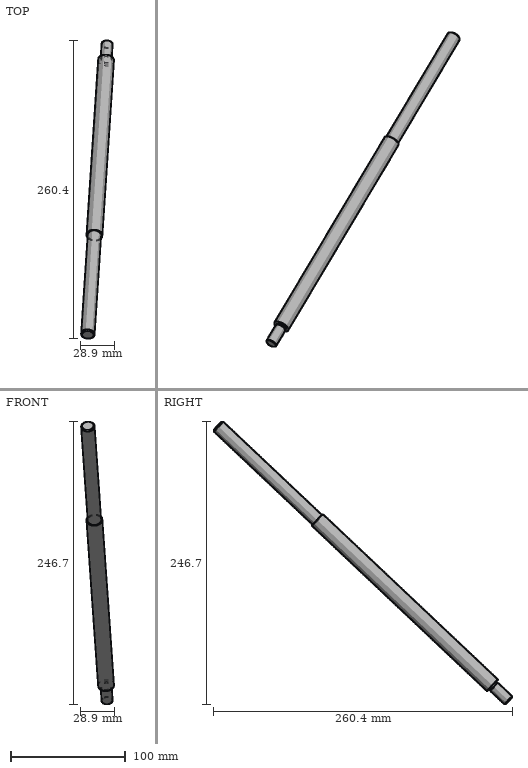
import cadquery as cq
import math

tip_diameter = 10.0
tip_length = 19.5
body_diameter = 14.0
body_length = 210.3
stem_diameter = 12.0
stem_length = 119.8

stem_chamfer = 1.0
tip_chamfer = 0.5
relief_diameter = 9.5
relief_width = 1.8

elevation = 43.3
heading = 3.8


def shaft_axis_plane():
    """Plane at the shaft's lower end, with its normal along the shaft axis."""
    rise = math.radians(elevation)
    turn = math.radians(heading)
    axis = (
        -math.cos(rise) * math.sin(turn),
        -math.cos(rise) * math.cos(turn),
        math.sin(rise),
    )
    return cq.Plane(origin=(0, 0, 0), xDir=(math.cos(turn), -math.sin(turn), 0), normal=axis)


def section(start, diameter, length):
    """Cylinder on the shaft axis, starting at a distance from the lower end."""
    return cq.Workplane(shaft_axis_plane()).workplane(offset=start).circle(diameter / 2).extrude(length)


tip_turned_length = tip_length - relief_width
tip = section(0, tip_diameter, tip_turned_length).faces("<Z").chamfer(tip_chamfer)
stem = section(tip_length + body_length, stem_diameter, stem_length).faces(">Z").chamfer(stem_chamfer)

relief = section(tip_turned_length, relief_diameter, relief_width)

body = section(tip_length, body_diameter, body_length)

result = tip.union(relief).union(body).union(stem)